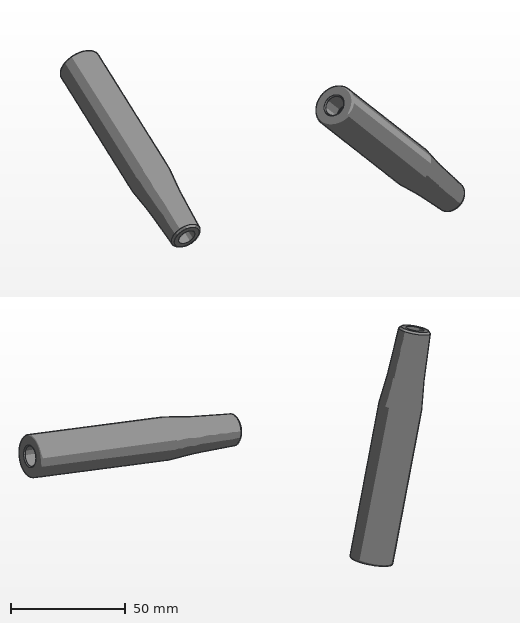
import cadquery as cq

length = 105.4
body_radius = 19.1 / 2
rear_fillet = 1.0

shoulder_x = 70.2
taper_break_x = 83.3
taper_break_radius = 16.3 / 2
tip_radius = 14.1 / 2
tip_chamfer = 1.0

bore_radius = 7.9 / 2
counterbore_radius = 9.0 / 2
counterbore_depth = 10.5
mouth_chamfer = 0.5


def make_body():
    """Solid of revolution: straight barrel, two successive tapers and a chamfered tip."""
    outline = (
        cq.Workplane("XY")
        .lineTo(0, body_radius)
        .lineTo(shoulder_x, body_radius)
        .lineTo(taper_break_x, taper_break_radius)
        .lineTo(length - tip_chamfer, tip_radius)
        .lineTo(length, tip_radius - tip_chamfer)
        .lineTo(length, 0)
        .close()
    )
    body = outline.revolve(360, (0, 0, 0), (1, 0, 0))
    return body.faces("<X").edges().fillet(rear_fillet)


def make_bore():
    """Revolved cutter for the chamfered counterbore and the through bore."""
    outline = (
        cq.Workplane("XY")
        .lineTo(0, counterbore_radius + mouth_chamfer)
        .lineTo(mouth_chamfer, counterbore_radius)
        .lineTo(counterbore_depth, counterbore_radius)
        .lineTo(counterbore_depth, bore_radius)
        .lineTo(length, bore_radius)
        .lineTo(length, 0)
        .close()
    )
    return outline.revolve(360, (0, 0, 0), (1, 0, 0))


result = make_body().cut(make_bore())